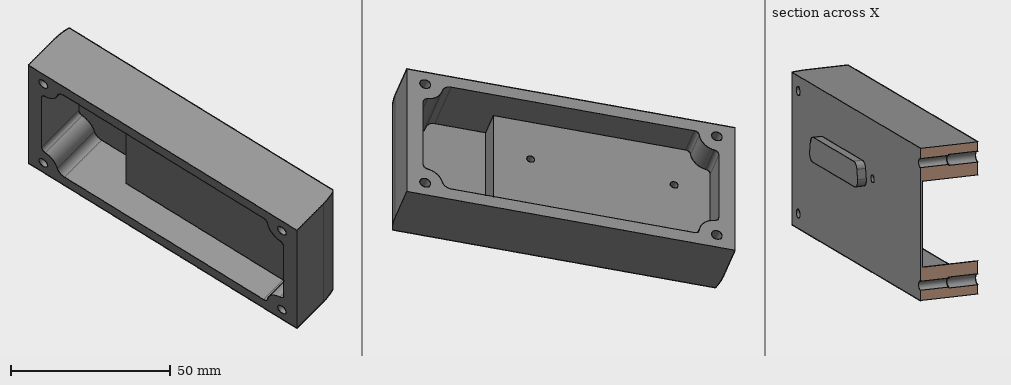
import cadquery as cq
import math

length = 107.3
height = 49.7
body_depth = 19.7
end_curve_depth = 6.3
end_curve_inset = 0.9
back_edge_radius = 0.5

cavity_length = 96.6
cavity_height = 41.2
shallow_depth = 10.0
bay_depth = 18.9
bay_end_x = -22.5

corner_hole_x = 47.6
corner_hole_z = 20.0
scallop_radius = 5.8
blend_radius = 1.6
bay_long_wall_blend_radius = 3.0

mouth_diameter = 3.4
mouth_depth = shallow_depth
corner_hole_diameter = 2.8

pad_center_x = 13.2
pad_center_z = 5.7
pad_bottom_length = 38.4
pad_height = 8.2
pad_thickness = 3.0
pad_side_tilt = 10.0
pad_corner_radius = 2.5

screw_hole_center_x = 13.1
screw_hole_spacing = 46.9
screw_hole_diameter = 2.5

corner_points = [(sx * corner_hole_x, sz * corner_hole_z) for sx in (-1, 1) for sz in (-1, 1)]
screw_points = [(screw_hole_center_x + side * screw_hole_spacing / 2, pad_center_z) for side in (-1, 1)]


def plane_at(y):
    """Workplane at depth y; its local axes are X and Z, and a negative extrusion goes towards +Y."""
    return cq.Workplane("XZ", origin=(0, y, 0))


def make_cylinders(points, diameter, depth):
    return plane_at(0).pushPoints(points).circle(diameter / 2).extrude(-depth)


def make_body():
    half = length / 2
    back_half = half - end_curve_inset
    curve_start = body_depth - end_curve_depth

    end_radius = (end_curve_depth**2 + end_curve_inset**2) / (2 * end_curve_inset)
    mid_angle = math.asin(end_curve_depth / end_radius) / 2
    mid_x = half - end_radius * (1 - math.cos(mid_angle))
    mid_y = curve_start + end_radius * math.sin(mid_angle)

    return (
        cq.Workplane("XY", origin=(0, 0, -height / 2))
        .moveTo(-half, 0)
        .lineTo(half, 0)
        .lineTo(half, curve_start)
        .threePointArc((mid_x, mid_y), (back_half, body_depth))
        .lineTo(-back_half, body_depth)
        .threePointArc((-mid_x, mid_y), (-half, curve_start))
        .close()
        .extrude(height)
        .edges("|Z and >Y")
        .fillet(back_edge_radius)
    )


def make_scalloped_block():
    block = plane_at(0).rect(cavity_length, cavity_height).extrude(-bay_depth)
    block = block.cut(make_cylinders(corner_points, 2 * scallop_radius, bay_depth))

    block = block.edges("|Y and (<X or >X)").fillet(blend_radius)
    half_height = cavity_height / 2
    scallop_offset = math.sqrt(scallop_radius**2 - (half_height - corner_hole_z) ** 2)
    scallop_end_x = corner_hole_x - scallop_offset
    for side, radius in ((1, blend_radius), (-1, bay_long_wall_blend_radius)):
        for level in (-half_height, half_height):
            scallop_end = (side * scallop_end_x, bay_depth / 2, level)
            block = block.edges(cq.selectors.NearestToPointSelector(scallop_end)).fillet(radius)
    return block


def make_cavity():
    raised_floor = cq.Workplane("XY", origin=(bay_end_x, shallow_depth, 0)).box(
        length / 2 - bay_end_x, body_depth - shallow_depth, height, centered=(False, False, True)
    )
    return make_scalloped_block().cut(raised_floor)


def make_pad():
    half_height = pad_height / 2
    half_bottom = pad_bottom_length / 2
    half_top = half_bottom - pad_height * math.tan(math.radians(pad_side_tilt))
    outline = [
        (-half_bottom, -half_height),
        (half_bottom, -half_height),
        (half_top, half_height),
        (-half_top, half_height),
    ]
    return (
        plane_at(body_depth)
        .center(pad_center_x, pad_center_z)
        .polyline(outline)
        .close()
        .extrude(-pad_thickness)
        .edges("|Y")
        .fillet(pad_corner_radius)
    )


def make_holes():
    through_holes = make_cylinders(corner_points, corner_hole_diameter, body_depth)
    mouths = make_cylinders(corner_points, mouth_diameter, mouth_depth)
    screw_holes = make_cylinders(screw_points, screw_hole_diameter, body_depth)
    return through_holes.union(mouths).union(screw_holes)


result = make_body().union(make_pad()).cut(make_cavity()).cut(make_holes())